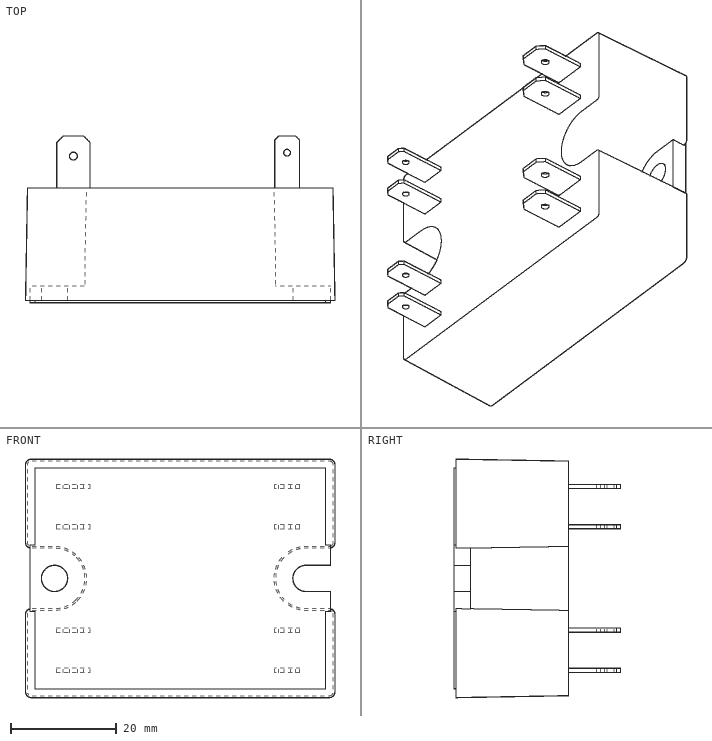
import cadquery as cq

length = 58.75
height = 45.3
housing_depth = 21.4
draft_angle = 1.0
corner_radius = 1.1

plate_proud = 0.4
plate_length = 55.2
plate_height = 41.95
strip_length = 57.1
strip_height = 12.65
strip_depth = 3.2

mount_x = 23.85
mount_diameter = 4.95
notch_radius = 5.7

terminal_length = 9.9
terminal_thickness = 0.8
terminal_x = 20.3
terminal_heights = (-17.45, -9.8, 9.8, 17.45)
terminal_embed = 0.6
wide_blade = {"width": 6.35, "chamfer": 1.25, "hole_diameter": 1.45, "hole_from_tip": 3.8}
narrow_blade = {"width": 4.75, "chamfer": 0.75, "hole_diameter": 1.25, "hole_from_tip": 3.2}

rim_y = plate_proud
rear_y = rim_y + housing_depth
tip_y = rear_y + terminal_length


def rear_facing(y):
    """Work plane at depth y with its normal along +Y and its local y along -Z."""
    return cq.Workplane(cq.Plane(origin=(0, y, 0), xDir=(1, 0, 0), normal=(0, 1, 0)))


def make_housing():
    """Drafted block with a round-ended notch in the middle of each short side."""
    half_length = length / 2
    half_height = height / 2
    notch_end = mount_x - notch_radius
    outline = (
        rear_facing(rim_y)
        .moveTo(-half_length, half_height)
        .lineTo(half_length, half_height)
        .lineTo(half_length, notch_radius)
        .lineTo(mount_x, notch_radius)
        .threePointArc((notch_end, 0), (mount_x, -notch_radius))
        .lineTo(half_length, -notch_radius)
        .lineTo(half_length, -half_height)
        .lineTo(-half_length, -half_height)
        .lineTo(-half_length, -notch_radius)
        .lineTo(-mount_x, -notch_radius)
        .threePointArc((-notch_end, 0), (-mount_x, notch_radius))
        .lineTo(-half_length, notch_radius)
        .close()
    )
    prism = outline.extrude(housing_depth)
    rounded = prism.edges("|Y").edges("<X or >X").fillet(corner_radius)
    rim = rounded.faces("<Y").wires().val()
    return rear_facing(rim_y).add(rim).toPending().extrude(housing_depth, taper=draft_angle)


def make_base():
    """Proud panel joined to the strip that closes the front of both notches."""
    panel = rear_facing(0).rect(plate_length, plate_height).extrude(plate_proud)
    strip = rear_facing(0).rect(strip_length, strip_height).extrude(strip_depth)
    return panel.union(strip)


def cut_mounting(body):
    """Round hole on the -X side and a slot open to the +X side."""
    hole = rear_facing(0).center(-mount_x, 0).circle(mount_diameter / 2).extrude(strip_depth)
    slot_end = rear_facing(0).center(mount_x, 0).circle(mount_diameter / 2).extrude(strip_depth)
    slot_run = length / 2 - mount_x
    slot = (
        rear_facing(0)
        .center(mount_x + slot_run / 2, 0)
        .rect(slot_run, mount_diameter)
        .extrude(strip_depth)
    )
    return body.cut(hole).cut(slot_end).cut(slot)


def make_terminal(x, z, width, chamfer, hole_diameter, hole_from_tip):
    """Flat blade with a chamfered tip and a small latch hole."""
    blade_length = terminal_length + terminal_embed
    return (
        cq.Workplane("XY")
        .box(width, blade_length, terminal_thickness)
        .edges("|Z and >Y")
        .chamfer(chamfer)
        .faces(">Z")
        .workplane()
        .center(0, blade_length / 2 - hole_from_tip)
        .hole(hole_diameter)
        .translate((x, tip_y - blade_length / 2, z))
    )


result = cut_mounting(make_housing().union(make_base()))
for terminal_z in terminal_heights:
    result = result.union(make_terminal(-terminal_x, terminal_z, **wide_blade))
    result = result.union(make_terminal(terminal_x, terminal_z, **narrow_blade))